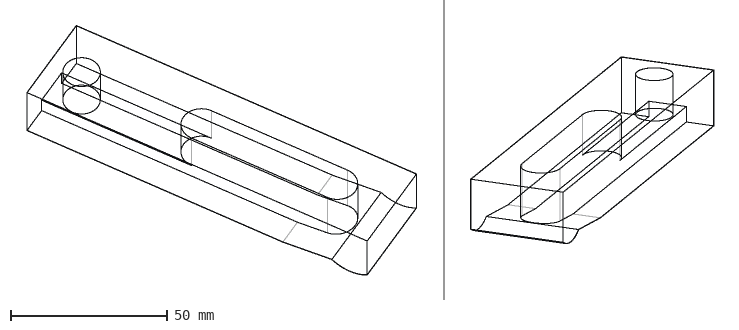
import cadquery as cq

length = 125.0
width = 32.0
height = 19.0

relief_start = 94.0
nose_length = 13.0
nose_start = length - nose_length
nose_middle = length - nose_length / 2
nose_depth = 2.0

hole_diameter = 12.0
hole_x = 11.0
slot_width = 13.0
slot_start = 48.5
slot_end = 111.5

channel_width = slot_width
channel_depth = 5.2
channel_length = slot_start + slot_width / 2


def make_bar():
    """Extrude the side outline, with its ramp and nose, across the width."""
    return (
        cq.Workplane("XZ")
        .moveTo(0, 0)
        .lineTo(relief_start, 0)
        .lineTo(nose_start, nose_depth)
        .threePointArc((nose_middle, 0), (length, nose_depth))
        .lineTo(length, height)
        .lineTo(0, height)
        .close()
        .extrude(width / 2, both=True)
    )


def make_hole():
    return cq.Workplane("XY").center(hole_x, 0).circle(hole_diameter / 2).extrude(height)


def make_slot():
    return (
        cq.Workplane("XY")
        .center((slot_start + slot_end) / 2, 0)
        .slot2D(slot_end - slot_start, slot_width)
        .extrude(height)
    )


def make_channel():
    return cq.Workplane("XY").box(
        channel_length, channel_width, channel_depth, centered=(False, True, False)
    )


result = make_bar().cut(make_hole()).cut(make_slot()).cut(make_channel())